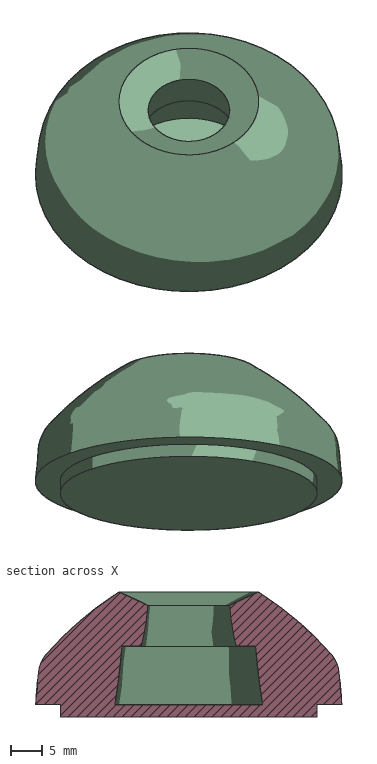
import cadquery as cq

total_height = 20.0
spigot_height = 2.0
skirt_top = 7.0
dome_start = 9.95

spigot_radius = 41.0 / 2
rim_radius = 24.5
skirt_top_radius = 24.05
dome_start_radius = 22.9
top_radius = 22.3 / 2

shoulder_bulge = 0.25
dome_bulge = 0.55

throat_radius = 13.0 / 2
mouth_depth = 2.15
throat_height = total_height - mouth_depth
socket_end_radius = 7.55
socket_end_height = 11.25
socket_bulge = -0.15

chamber_top_radius = 10.65
chamber_floor_radius = 11.75
chamber_floor = spigot_height


def arc_middle(start, end, bulge):
    """Point pushed outward from the middle of the chord, square to it."""
    chord = cq.Vector(*end) - cq.Vector(*start)
    outward = cq.Vector(chord.y, -chord.x).normalized()
    middle = cq.Vector(*start) + chord * 0.5 + outward * bulge
    return middle.x, middle.y


skirt_edge = (skirt_top_radius, skirt_top)
dome_edge = (dome_start_radius, dome_start)
top_edge = (top_radius, total_height)
throat_edge = (throat_radius, throat_height)
socket_edge = (socket_end_radius, socket_end_height)

result = (
    cq.Workplane("XZ")
    .lineTo(spigot_radius, 0)
    .lineTo(spigot_radius, spigot_height)
    .lineTo(rim_radius, spigot_height)
    .lineTo(*skirt_edge)
    .threePointArc(arc_middle(skirt_edge, dome_edge, shoulder_bulge), dome_edge)
    .threePointArc(arc_middle(dome_edge, top_edge, dome_bulge), top_edge)
    .lineTo(*throat_edge)
    .threePointArc(arc_middle(socket_edge, throat_edge, socket_bulge), socket_edge)
    .lineTo(chamber_top_radius, socket_end_height)
    .lineTo(chamber_floor_radius, chamber_floor)
    .lineTo(0, chamber_floor)
    .close()
    .revolve(360, (0, 0, 0), (0, 1, 0))
)